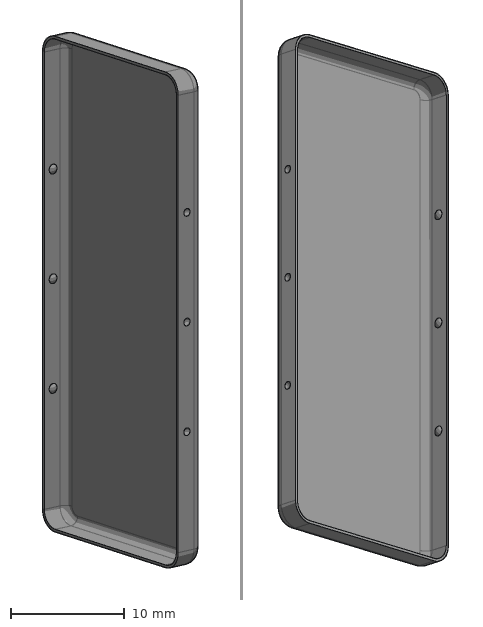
import cadquery as cq

WIDTH = 18.6
DEPTH = 2.8
HEIGHT = 45.2
WALL = 0.25
CORNER_RADIUS = 1.75
BACK_FILLET = 1.0

DIMPLE_RADIUS = 0.35
DIMPLE_DEPTH = 0.15
DIMPLE_FROM_RIM = 1.0
DIMPLE_PITCH = 10.0
DIMPLES_PER_SIDE = 3

RIM_Y = -DEPTH / 2
BACK_Y = DEPTH / 2


def rounded_block(inset):
    """Block with rounded corners and back edge, set in from the outer skin."""
    length = DEPTH - inset
    return (
        cq.Workplane("XZ", origin=(0, BACK_Y - inset, 0))
        .rect(WIDTH - 2 * inset, HEIGHT - 2 * inset)
        .extrude(length)
        .edges("|Y")
        .fillet(CORNER_RADIUS - inset)
        .faces(">Y")
        .edges()
        .fillet(BACK_FILLET - inset)
    )


def dimple_cap(wall_x, side, z, ball_radius):
    """Spherical cap reaching DIMPLE_DEPTH inward from the wall face at wall_x."""
    centre_x = wall_x + side * (ball_radius - DIMPLE_DEPTH)
    centre_y = RIM_Y + DIMPLE_FROM_RIM
    ball = cq.Workplane("XY").sphere(ball_radius).rotate((0, 0, 0), (0, 0, 1), 90)
    ball = ball.translate((centre_x, centre_y, z))
    inner_half = (
        cq.Workplane("XY")
        .box(2 * ball_radius, 2 * ball_radius, 2 * ball_radius)
        .translate((wall_x - side * ball_radius, centre_y, z))
    )
    return ball.intersect(inner_half)


def add_dimples(tray):
    """Press the rows of dimples into the two long side walls."""
    outer_x = WIDTH / 2
    inner_x = outer_x - WALL
    hollow_radius = (DIMPLE_RADIUS**2 + DIMPLE_DEPTH**2) / (2 * DIMPLE_DEPTH)
    bump_radius = hollow_radius + WALL
    for side in (-1, 1):
        for index in range(DIMPLES_PER_SIDE):
            z = (index - (DIMPLES_PER_SIDE - 1) / 2) * DIMPLE_PITCH
            tray = tray.union(dimple_cap(side * inner_x, side, z, bump_radius))
            tray = tray.cut(dimple_cap(side * outer_x, side, z, hollow_radius))
    return tray


tray = rounded_block(0).cut(rounded_block(WALL))
result = add_dimples(tray)